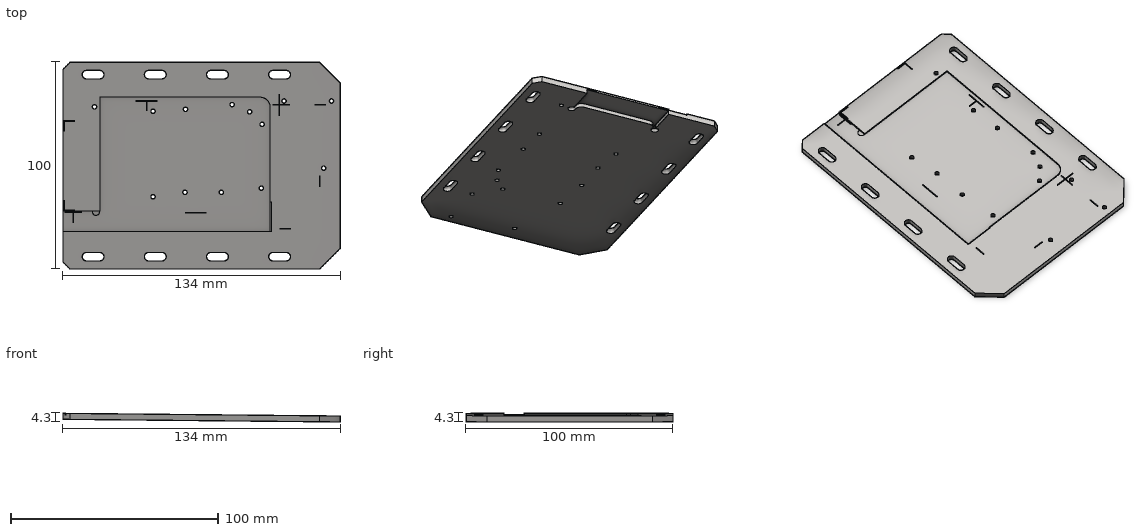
import cadquery as cq
import math

OUTER_LENGTH = 134.0
OUTER_HEIGHT = 4.3
WIDTH = 100.0
TILT_DEGREES = 0.55
TILT = math.radians(TILT_DEGREES)
LENGTH = (OUTER_LENGTH * math.cos(TILT) - OUTER_HEIGHT * math.sin(TILT)) / math.cos(2 * TILT)
THICKNESS = (OUTER_HEIGHT * math.cos(TILT) - OUTER_LENGTH * math.sin(TILT)) / math.cos(2 * TILT)
LEFT_END = -LENGTH / 2
LEFT_CORNER_CUT = 3.5
RIGHT_CORNER_CUT = 10.0
CLEARANCE = 1.3

SLOT_LENGTH = 10.5
SLOT_WIDTH = 4.0
SLOT_COUNT = 4
SLOT_PITCH = 30.0
FIRST_SLOT_X = -52.4
SLOT_ROW_Y = 44.0

POCKET_DEPTH = 0.6
POCKET_RIGHT = 33.1
POCKET_BACK = 33.1
POCKET_FRONT = -31.8
POCKET_CORNER_RADIUS = 5.0
TONGUE_LENGTH = 18.0
TONGUE_RIGHT = LEFT_END + TONGUE_LENGTH
TONGUE_FRONT = -22.0
RAMP_BACK = -17.5
RAMP_RUN = 0.5

LIP_THICKNESS = 1.0
RECESS_CENTER_Y = 0.1
RECESS_HALF_WIDTH = -TONGUE_FRONT
RECESS_BACK = LEFT_END + 12.0
RECESS_CORNER_RADIUS = 3.1
RELIEF_RADIUS = 1.7
RELIEF_Y = 22.4
RELIEF_X = LEFT_END + 16.0

HOLE_DIAMETER = 2.0
HOLE_CENTERS = [
    (-51.7, 28.4), (-23.5, 26.3), (-7.8, 27.2), (14.7, 29.5), (23.2, 26.0),
    (29.2, 20.0), (39.8, 31.2), (62.7, 31.2), (59.0, -1.2), (28.8, -10.9),
    (9.5, -12.9), (-8.0, -12.9), (-23.5, -15.0),
]

MARK_WIDTH = 0.3
MARK_DEPTH = 0.1
TOP_FACE_MARKS = [
    ((34.7, 29.4), (42.2, 29.4)),
    ((37.4, 24.3), (37.4, 34.3)),
    ((55.0, 29.4), (59.8, 29.4)),
    ((57.1, -9.9), (57.1, -5.2)),
    ((37.9, -30.5), (42.8, -30.5)),
    ((-66.3, 21.6), (-61.5, 21.6)),
    ((-66.3, 16.9), (-66.3, 21.6)),
    ((-66.3, -21.6), (-61.5, -21.6)),
    ((-66.3, -21.6), (-66.3, -16.9)),
]
POCKET_FLOOR_MARKS = [
    ((-31.5, 31.2), (-21.6, 31.2)),
    ((-26.5, 26.7), (-26.5, 31.2)),
    ((-7.6, -22.6), (2.0, -22.6)),
    ((-66.0, -22.5), (-58.2, -22.5)),
    ((-62.0, -27.3), (-62.0, -22.5)),
]


def make_plate():
    """Flat plate with its top face at Z = 0 and four cut corners."""
    plate = cq.Workplane("XY").box(LENGTH, WIDTH, THICKNESS, centered=(True, True, False))
    plate = plate.translate((0, 0, -THICKNESS))
    plate = plate.edges("|Z and <X").chamfer(LEFT_CORNER_CUT)
    return plate.edges("|Z and >X").chamfer(RIGHT_CORNER_CUT)


def make_slots():
    centers = [
        (FIRST_SLOT_X + index * SLOT_PITCH, side * SLOT_ROW_Y)
        for side in (-1, 1)
        for index in range(SLOT_COUNT)
    ]
    slots = cq.Workplane("XY").pushPoints(centers).slot2D(SLOT_LENGTH, SLOT_WIDTH)
    return slots.extrude(THICKNESS, both=True)


def make_holes():
    holes = cq.Workplane("XY").pushPoints(HOLE_CENTERS).circle(HOLE_DIAMETER / 2)
    return holes.extrude(THICKNESS, both=True)


def make_pocket():
    """L-shaped pocket that runs out of the -X end beside the tongue."""
    corner_bulge = POCKET_CORNER_RADIUS * math.sqrt(0.5)
    arc_center_x = POCKET_RIGHT - POCKET_CORNER_RADIUS
    arc_center_y = POCKET_BACK - POCKET_CORNER_RADIUS
    return (
        cq.Workplane("XY")
        .workplane(offset=-POCKET_DEPTH)
        .moveTo(LEFT_END - CLEARANCE, POCKET_FRONT)
        .lineTo(POCKET_RIGHT, POCKET_FRONT)
        .lineTo(POCKET_RIGHT, arc_center_y)
        .threePointArc(
            (arc_center_x + corner_bulge, arc_center_y + corner_bulge),
            (arc_center_x, POCKET_BACK),
        )
        .lineTo(TONGUE_RIGHT, POCKET_BACK)
        .lineTo(TONGUE_RIGHT, TONGUE_FRONT)
        .lineTo(LEFT_END - CLEARANCE, TONGUE_FRONT)
        .close()
        .extrude(POCKET_DEPTH + CLEARANCE)
    )


def make_pocket_ramp():
    """Wedge that slopes the -Y stretch of the pocket's +X wall."""
    return (
        cq.Workplane("XZ", origin=(0, RAMP_BACK, 0))
        .moveTo(POCKET_RIGHT, -POCKET_DEPTH)
        .lineTo(POCKET_RIGHT + RAMP_RUN, 0)
        .lineTo(POCKET_RIGHT, 0)
        .close()
        .extrude(RAMP_BACK - POCKET_FRONT)
    )


def make_recess():
    """Underside recess with a round-ended relief at each inner corner."""
    relief_inner = RELIEF_Y - RELIEF_RADIUS
    flat_end = relief_inner - RECESS_CORNER_RADIUS
    corner_bulge = RECESS_CORNER_RADIUS * math.sqrt(0.5)
    corner_end = RECESS_BACK + RECESS_CORNER_RADIUS
    mouth = LEFT_END - CLEARANCE
    wall_end = RELIEF_X - math.sqrt(RELIEF_RADIUS**2 - (RELIEF_Y - RECESS_HALF_WIDTH)**2)
    return (
        cq.Workplane("XY")
        .workplane(offset=-THICKNESS - CLEARANCE)
        .center(0, RECESS_CENTER_Y)
        .moveTo(mouth, -RECESS_HALF_WIDTH)
        .lineTo(wall_end, -RECESS_HALF_WIDTH)
        .threePointArc((RELIEF_X + RELIEF_RADIUS, -RELIEF_Y), (RELIEF_X, -relief_inner))
        .lineTo(corner_end, -relief_inner)
        .threePointArc(
            (corner_end - corner_bulge, -flat_end - corner_bulge), (RECESS_BACK, -flat_end)
        )
        .lineTo(RECESS_BACK, flat_end)
        .threePointArc(
            (corner_end - corner_bulge, flat_end + corner_bulge), (corner_end, relief_inner)
        )
        .lineTo(RELIEF_X, relief_inner)
        .threePointArc((RELIEF_X + RELIEF_RADIUS, RELIEF_Y), (wall_end, RECESS_HALF_WIDTH))
        .lineTo(mouth, RECESS_HALF_WIDTH)
        .close()
        .extrude(THICKNESS + CLEARANCE - LIP_THICKNESS)
    )


def engrave(body, marks, surface_z):
    """Cut each axis-aligned line into the level surface at surface_z."""
    for (start_x, start_y), (end_x, end_y) in marks:
        groove = cq.Workplane("XY").box(
            end_x - start_x + MARK_WIDTH, end_y - start_y + MARK_WIDTH, 2 * MARK_DEPTH
        )
        center = ((start_x + end_x) / 2, (start_y + end_y) / 2, surface_z)
        body = body.cut(groove.translate(center))
    return body


plate = make_plate()
for cutter in (make_slots(), make_holes(), make_pocket(), make_pocket_ramp(), make_recess()):
    plate = plate.cut(cutter)
plate = engrave(plate, TOP_FACE_MARKS, 0)
plate = engrave(plate, POCKET_FLOOR_MARKS, -POCKET_DEPTH)

result = plate.translate((0, 0, THICKNESS / 2)).rotate((0, 0, 0), (0, 1, 0), TILT_DEGREES)